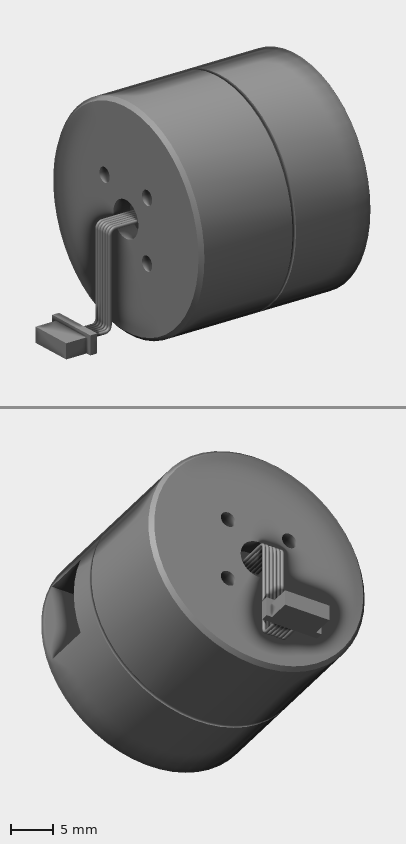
import cadquery as cq

body_diameter = 30.0
overall_length = 36.0
cable_reach = 11.0
body_length = overall_length - cable_reach
front_chamfer = 0.5
rear_chamfer = 0.1

rear_section_length = 11.0
groove_width = 0.5
groove_depth = 0.5

pocket_length = 6.5
pocket_height = 10.5
pocket_rear_margin = 1.0
pocket_floor_offset = 10.2

bore_diameter = 5.0
bore_depth = 2.5
mount_hole_diameter = 2.0
mount_hole_depth = 2.5
mount_circle_diameter = 12.0
mount_hole_count = 4
mount_first_angle = 45

wire_count = 6
wire_radius = 0.225
wire_pitch = 0.5
wire_bend_radius = 0.75
wire_drop_distance = 3.28
wire_embed = 0.18

connector_bottom = -14.2
flange_width = 7.6
flange_height = 2.6
flange_thickness = 1.0
plug_width = 6.12
plug_height = 2.1
connector_length = 4.0
plug_length = connector_length - flange_thickness

body_radius = body_diameter / 2
flange_back = connector_length - cable_reach
wire_exit_height = connector_bottom + plug_height / 2


def cylinder(diameter, start, length):
    """Cylinder on the body axis that runs from Y = start towards +Y."""
    return cq.Workplane("XZ", origin=(0, start, 0)).circle(diameter / 2).extrude(-length)


def block(width, length, height, back, bottom):
    """Box centred on X that runs from Y = back towards -Y and rises from Z = bottom."""
    return cq.Workplane("XY").box(width, length, height, centered=(True, True, False)).translate(
        (0, back - length / 2, bottom)
    )


def make_body():
    body = cylinder(body_diameter, 0, body_length)
    body = body.faces("<Y").chamfer(front_chamfer)
    return body.faces(">Y").chamfer(rear_chamfer)


def make_groove():
    start = body_length - rear_section_length - groove_width
    core = cylinder(body_diameter - 2 * groove_depth, start, groove_width)
    return cylinder(body_diameter, start, groove_width).cut(core)


def make_pocket():
    depth = body_radius - pocket_floor_offset
    center_x = -pocket_floor_offset - depth / 2
    center_y = body_length - pocket_rear_margin - pocket_length / 2
    return cq.Workplane("XY").box(depth, pocket_length, pocket_height).translate((center_x, center_y, 0))


def make_front_holes():
    mount_holes = (
        cq.Workplane("XZ")
        .polarArray(mount_circle_diameter / 2, mount_first_angle, 360, mount_hole_count)
        .circle(mount_hole_diameter / 2)
        .extrude(-mount_hole_depth)
    )
    return cylinder(bore_diameter, 0, bore_depth).union(mount_holes)


def make_wire(x):
    start = bore_depth + wire_embed
    end = flange_back - wire_embed
    path = (
        cq.Workplane("YZ", origin=(x, 0, 0))
        .moveTo(start, 0)
        .lineTo(wire_bend_radius - wire_drop_distance, 0)
        .radiusArc((-wire_drop_distance, -wire_bend_radius), -wire_bend_radius)
        .lineTo(-wire_drop_distance, wire_exit_height + wire_bend_radius)
        .radiusArc((-wire_drop_distance - wire_bend_radius, wire_exit_height), wire_bend_radius)
        .lineTo(end, wire_exit_height)
    )
    return cq.Workplane("XZ", origin=(x, start, 0)).circle(wire_radius).sweep(path)


def make_connector():
    flange = block(flange_width, flange_thickness, flange_height, flange_back, connector_bottom)
    plug_back = flange_back - flange_thickness
    return flange.union(block(plug_width, plug_length, plug_height, plug_back, connector_bottom))


result = make_body().cut(make_groove()).cut(make_pocket()).cut(make_front_holes())
result = result.union(make_connector())
for index in range(wire_count):
    result = result.union(make_wire((index - (wire_count - 1) / 2) * wire_pitch))